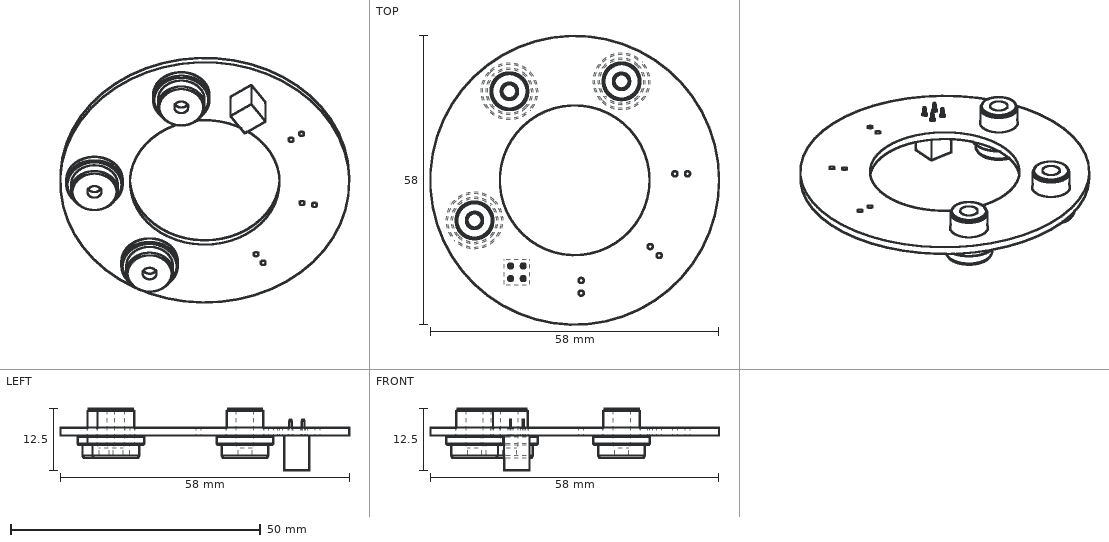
import cadquery as cq
import math


board_diameter = 58.0
board_opening_diameter = 30.0
board_thickness = 1.6
board_bottom = -board_thickness

hole_diameter = 1.0
hole_pitch = 2.54
pair_inner_radius = 20.1
pair_side_offset = 1.3
pair_angles = [0, -45, -90]

sleeve_centers = [(-13.1, 17.85), (9.4, 19.85), (-20.1, -8.05)]
sleeve_hole_diameter = 7.6
sleeve_neck_diameter = 7.4
sleeve_neck_height = 3.9
sleeve_lip_diameter = 6.9
sleeve_lip_height = 0.4
sleeve_shoulder_height = 0.15
sleeve_flange_diameter = 11.4
sleeve_flange_thickness = 1.9
sleeve_flange_chamfer = 0.3
sleeve_foot_diameter = 9.4
sleeve_foot_height = 2.6
sleeve_foot_chamfer_width = 0.3
sleeve_foot_chamfer_height = 0.5
sleeve_bore_top_diameter = 3.5
sleeve_bore_bottom_diameter = 2.8
sleeve_bore_taper_height = 0.6

connector_center = (-11.6, -18.45)
connector_side = 5.08
connector_height = 6.95
pin_width = 0.6
pin_thickness = 0.25
pin_rise = 1.65
pin_tip_width = 0.25
pin_tip_height = 0.45


def pin_points():
    """Centres of the connector pins and of their holes in the board."""
    half = hole_pitch / 2
    center_x, center_y = connector_center
    return [(center_x + dx, center_y + dy) for dx in (-half, half) for dy in (-half, half)]


def pair_points():
    """Centres of the radial hole pairs, turned about the board's axis."""
    points = []
    for angle in pair_angles:
        cosine = math.cos(math.radians(angle))
        sine = math.sin(math.radians(angle))
        for x in (pair_inner_radius, pair_inner_radius + hole_pitch):
            y = pair_side_offset
            points.append((x * cosine - y * sine, x * sine + y * cosine))
    return points


def through_cutter(points, diameter):
    """Cylinders that pass through the full board thickness."""
    return (
        cq.Workplane("XY", origin=(0, 0, board_bottom))
        .pushPoints(points)
        .circle(diameter / 2)
        .extrude(board_thickness)
    )


def make_board():
    """Flat ring with the sleeve holes, pin holes and hole pairs."""
    ring = (
        cq.Workplane("XY", origin=(0, 0, board_bottom))
        .circle(board_diameter / 2)
        .circle(board_opening_diameter / 2)
        .extrude(board_thickness)
    )
    small_holes = through_cutter(pin_points() + pair_points(), hole_diameter)
    sleeve_holes = through_cutter(sleeve_centers, sleeve_hole_diameter)
    return ring.cut(small_holes).cut(sleeve_holes)


def make_sleeve(center):
    """Turned sleeve: neck through the board, flange under it, foot at the bottom.

    The bore is wide through neck and flange and narrows in the foot.
    """
    bore_top = sleeve_bore_top_diameter / 2
    bore_bottom = sleeve_bore_bottom_diameter / 2
    lip = sleeve_lip_diameter / 2
    neck = sleeve_neck_diameter / 2
    flange = sleeve_flange_diameter / 2
    foot = sleeve_foot_diameter / 2
    top = sleeve_neck_height
    lip_base = top - sleeve_lip_height
    flange_bottom = board_bottom - sleeve_flange_thickness
    bottom = flange_bottom - sleeve_foot_height
    profile = [
        (bore_bottom, bottom),
        (foot - sleeve_foot_chamfer_width, bottom),
        (foot, bottom + sleeve_foot_chamfer_height),
        (foot, flange_bottom),
        (flange - sleeve_flange_chamfer, flange_bottom),
        (flange, flange_bottom + sleeve_flange_chamfer),
        (flange, board_bottom - sleeve_flange_chamfer),
        (flange - sleeve_flange_chamfer, board_bottom),
        (neck, board_bottom),
        (neck, lip_base - sleeve_shoulder_height),
        (lip, lip_base),
        (lip, top),
        (bore_top, top),
        (bore_top, flange_bottom),
        (bore_bottom, flange_bottom - sleeve_bore_taper_height),
    ]
    sleeve = cq.Workplane("XZ").polyline(profile).close().revolve(360, (0, 0, 0), (0, 1, 0))
    return sleeve.translate((center[0], center[1], 0))


def make_connector():
    """Square housing under the board with blade pins that rise through the pin holes."""
    housing = (
        cq.Workplane("XY", origin=(*connector_center, board_bottom))
        .rect(connector_side, connector_side)
        .extrude(-connector_height)
    )
    half_width = pin_width / 2
    half_tip = pin_tip_width / 2
    blade_profile = [
        (-half_width, board_bottom),
        (half_width, board_bottom),
        (half_width, pin_rise - pin_tip_height),
        (half_tip, pin_rise),
        (-half_tip, pin_rise),
        (-half_width, pin_rise - pin_tip_height),
    ]
    blade = cq.Workplane("YZ").polyline(blade_profile).close().extrude(pin_thickness / 2, both=True)
    connector = housing
    for x, y in pin_points():
        connector = connector.union(blade.translate((x, y, 0)))
    return connector


board = make_board()
sleeves = [make_sleeve(center) for center in sleeve_centers]
connector = make_connector()

result = cq.Compound.makeCompound(
    [board.val(), *[sleeve.val() for sleeve in sleeves], connector.val()]
)